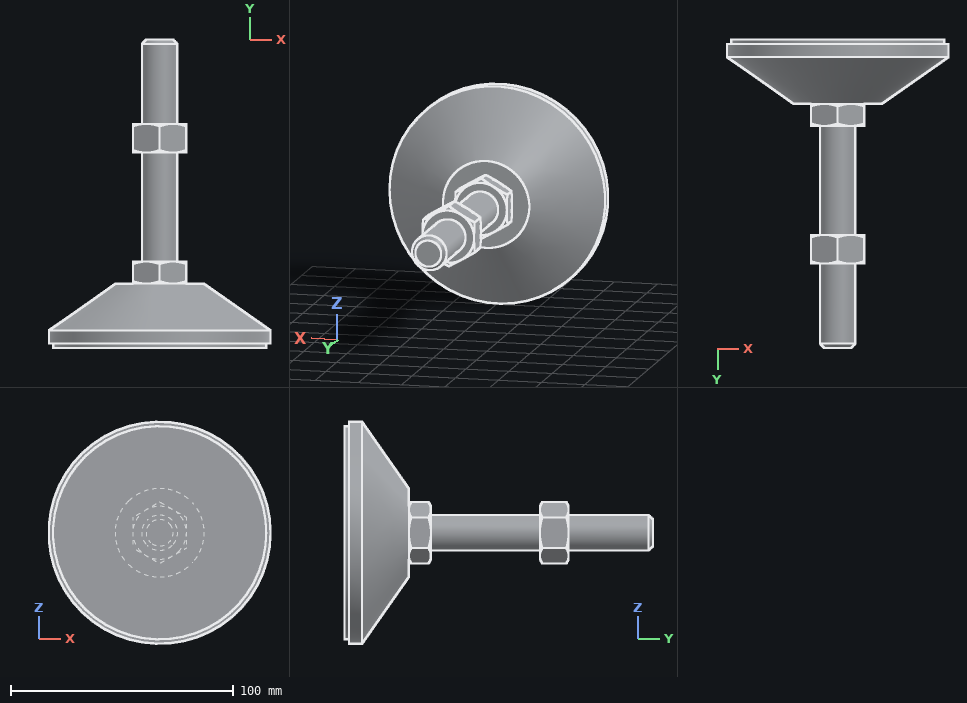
import cadquery as cq
import math

total_length = 139.0
pad_thickness = 2.0
rim_height = 6.0
foot_height = 29.0
foot_nut_height = 10.0
lock_nut_height = 13.0
lock_nut_start = 88.0

foot_diameter = 100.0
pad_diameter = 96.0
foot_top_diameter = 40.0
rod_diameter = 16.0

rod_tip_chamfer = 2.0
nut_sides = 6
nut_across_flats = 24.0
nut_chamfer_angle = 30.0
nut_corner_diameter = nut_across_flats / math.cos(math.pi / nut_sides)


def disc(diameter, start, length):
    """Cylinder on the Y axis, from y = start to y = start + length."""
    plane = cq.Workplane("XZ", origin=(0, start, 0))
    return plane.circle(diameter / 2).extrude(-length)


def revolve_about_axis(profile):
    """Full turn of a closed XY profile about the Y axis."""
    return profile.revolve(360, (0, 0, 0), (0, 1, 0))


def make_foot():
    """Revolved foot: a cylindrical rim under a cone."""
    rim_radius = foot_diameter / 2
    rim_top = pad_thickness + rim_height
    profile = (
        cq.Workplane("XY")
        .moveTo(0, pad_thickness)
        .lineTo(rim_radius, pad_thickness)
        .lineTo(rim_radius, rim_top)
        .lineTo(foot_top_diameter / 2, foot_height)
        .lineTo(0, foot_height)
        .close()
    )
    return revolve_about_axis(profile)


def make_nut(start, height):
    """Hexagon with flats facing +X and -X, its corners turned down at both ends."""
    hexagon = (
        cq.Workplane("XZ", origin=(0, start, 0))
        .transformed(rotate=(0, 0, 90))
        .polygon(nut_sides, nut_corner_diameter)
        .extrude(-height)
    )
    corner_radius = nut_corner_diameter / 2
    face_radius = nut_across_flats / 2
    corner_drop = (corner_radius - face_radius) * math.tan(math.radians(nut_chamfer_angle))
    end = start + height
    envelope_profile = (
        cq.Workplane("XY")
        .moveTo(0, start)
        .lineTo(face_radius, start)
        .lineTo(corner_radius, start + corner_drop)
        .lineTo(corner_radius, end - corner_drop)
        .lineTo(face_radius, end)
        .lineTo(0, end)
        .close()
    )
    return hexagon.intersect(revolve_about_axis(envelope_profile))


def make_rod():
    """Plain rod from the top of the foot to its chamfered tip."""
    rod = disc(rod_diameter, foot_height, total_length - foot_height)
    return rod.faces(">Y").chamfer(rod_tip_chamfer)


pad = disc(pad_diameter, 0, pad_thickness)
foot_nut = make_nut(foot_height, foot_nut_height)
lock_nut = make_nut(lock_nut_start, lock_nut_height)

result = make_foot().union(pad).union(make_rod()).union(foot_nut).union(lock_nut)